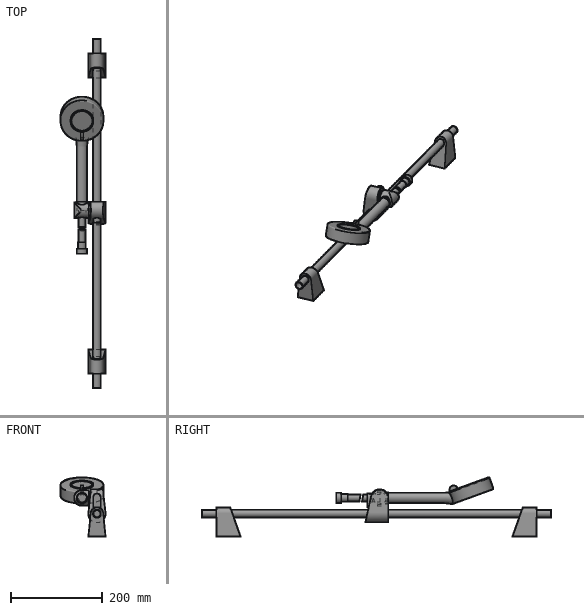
import cadquery as cq
import math


rail_length = 763.0
rail_dia = 17.5
rail_recess_dia = 15.0

bracket_top_radius = 14.0
bracket_base_half_width = 19.0
wall_z = -50.0
bracket_outer_y = 350.0
bracket_base_length = 53.5
bracket_top_length = 30.5
rail_recess_depth = rail_length / 2 - bracket_outer_y

shower_x = -33.0
shower_z = 34.0

slider_y = 7.0
slider_round_radius = 19.0
slider_bottom_radius = 19.0
slider_top_half_width = 13.0
slider_bottom_south_y = -24.5
button_width = 16.0
button_bottom_z = 14.0
button_top_z = 44.0
button_south_y = -20.5

holder_dia = 34.0
holder_inner_x = -18.0
neck_dia = 27.5
collar_dia = 24.5

handle_dia = 23.0
handle_north_y = 146.5
flare_dia = 27.5
flare_north_y = 166.0
head_dia = 94.5
head_thickness = 28.0
head_tilt = 20.0
head_edge_fillet = 2.0
head_top_y = 202.0
head_top_z = 64.0
dial_dia = 50.0
dial_groove_width = 2.0
dial_groove_depth = 1.5
lever_width = 5.0
lever_radius = 9.0
lever_y = 168.5
lever_z = 53.0

hose_dia = 16.0
hose_break_y = -30.5
hose_break_gap = 5.0
hose_cut_angle = 10.0
ferrule_dia = 17.5
ferrule_north_y = -63.0
nut_dia = 23.0
nut_north_y = -77.0
nut_south_y = -88.5
nut_chamfer = 1.0


def rod_y(dia, y_start, y_end, x=0.0, z=0.0):
    """Round rod parallel to Y."""
    return cq.Workplane("XZ", origin=(x, y_start, z)).circle(dia / 2).extrude(y_start - y_end)


def rod_x(dia, x_start, x_end, y, z):
    """Round rod parallel to X."""
    return cq.Workplane("YZ", origin=(x_start, y, z)).circle(dia / 2).extrude(x_end - x_start)


def tangent_angle(radius, px, py):
    """Direction of the point where the line from (px, py) touches a circle about
    the origin, taking the touching point that is counter-clockwise of the outside point."""
    return math.atan2(py, px) + math.acos(radius / math.hypot(px, py))


def wall_bracket():
    """Bracket at the +Y end: a tapered foot with a rounded top, sloped on the inner side."""
    angle = tangent_angle(bracket_top_radius, bracket_base_half_width, wall_z)
    touch_x = bracket_top_radius * math.cos(angle)
    touch_z = bracket_top_radius * math.sin(angle)
    across = (
        cq.Workplane("XZ", origin=(0, bracket_outer_y, 0))
        .moveTo(-bracket_base_half_width, wall_z)
        .lineTo(bracket_base_half_width, wall_z)
        .lineTo(touch_x, touch_z)
        .threePointArc((0, bracket_top_radius), (-touch_x, touch_z))
        .close()
        .extrude(bracket_base_length)
    )
    along = (
        cq.Workplane("YZ")
        .polyline([
            (bracket_outer_y, wall_z),
            (bracket_outer_y, bracket_top_radius),
            (bracket_outer_y - bracket_top_length, bracket_top_radius),
            (bracket_outer_y - bracket_base_length, wall_z),
        ])
        .close()
        .extrude(bracket_base_half_width, both=True)
    )
    return across.intersect(along)


def slider_block():
    """Block around the rail: tapers upward in X, rounded below; round top and sloped south side in Y."""
    top_z = shower_z + slider_round_radius
    angle = tangent_angle(slider_bottom_radius, slider_top_half_width, -top_z)
    touch_x = slider_bottom_radius * math.cos(angle)
    touch_z = -slider_bottom_radius * math.sin(angle)
    across = (
        cq.Workplane("XZ")
        .moveTo(-slider_top_half_width, top_z)
        .lineTo(slider_top_half_width, top_z)
        .lineTo(touch_x, touch_z)
        .threePointArc((0, -slider_bottom_radius), (-touch_x, touch_z))
        .close()
        .extrude(rail_length / 2, both=True)
    )
    south = slider_bottom_south_y - slider_y
    below = -slider_bottom_radius - shower_z
    slope = math.atan2(below, south) - math.acos(slider_round_radius / math.hypot(south, below))
    north_y = slider_y + slider_round_radius
    along = (
        cq.Workplane("YZ")
        .moveTo(north_y, -slider_bottom_radius)
        .lineTo(north_y, shower_z)
        .threePointArc(
            (slider_y, top_z),
            (
                slider_y + slider_round_radius * math.cos(slope),
                shower_z + slider_round_radius * math.sin(slope),
            ),
        )
        .lineTo(slider_bottom_south_y, -slider_bottom_radius)
        .close()
        .extrude(slider_bottom_radius, both=True)
    )
    return across.intersect(along)


def slider_button():
    """Button with a round top on the south side of the slider."""
    half = button_width / 2
    return (
        cq.Workplane("XZ", origin=(0, slider_y, 0))
        .moveTo(-half, button_bottom_z)
        .lineTo(half, button_bottom_z)
        .lineTo(half, button_top_z - half)
        .threePointArc((0, button_top_z), (-half, button_top_z - half))
        .close()
        .extrude(slider_y - button_south_y)
    )


def shower_holder():
    """Cross barrel with a neck to the slider, a rounded free end and a collar for the handle."""
    radius = holder_dia / 2
    barrel = rod_x(holder_dia, shower_x, holder_inner_x, slider_y, shower_z)
    end = rod_x(holder_dia, shower_x - radius, shower_x, slider_y, shower_z)
    end = end.intersect(rod_y(holder_dia, slider_y - radius, slider_y + radius, shower_x, shower_z))
    neck = rod_x(neck_dia, holder_inner_x, 0, slider_y, shower_z)
    collar = rod_y(collar_dia, slider_y, slider_y + slider_round_radius, shower_x, shower_z)
    return barrel.union(end).union(neck).union(collar)


def slide_rail(shower):
    """Rail with recessed ends, both wall brackets, the slider and the holder, bored to fit the shower."""
    body = rod_y(rail_dia, -rail_length / 2, rail_length / 2)
    north_bracket = wall_bracket()
    for bracket in (north_bracket, north_bracket.mirror("XZ")):
        body = body.union(bracket)
    for end in (-1, 1):
        end_y = end * rail_length / 2
        body = body.cut(rod_y(rail_recess_dia, end_y, end_y - end * rail_recess_depth))
    body = body.union(slider_block()).union(slider_button()).union(shower_holder())
    return body.cut(shower)


def shower_head():
    """Tilted disc with a ring groove around the dial and a lever at its south edge."""
    face = cq.Workplane(cq.Plane(
        origin=(shower_x, head_top_y, head_top_z),
        xDir=(1, 0, 0),
        normal=(0, -math.sin(math.radians(head_tilt)), math.cos(math.radians(head_tilt))),
    ))
    disc = face.circle(head_dia / 2).extrude(-head_thickness).edges().fillet(head_edge_fillet)
    groove = (
        face.circle(dial_dia / 2)
        .circle(dial_dia / 2 - dial_groove_width)
        .extrude(-dial_groove_depth)
    )
    return disc.cut(groove)


def hand_shower():
    """Head, handle seated in the holder, and the first piece of hose."""
    handle = rod_y(handle_dia, slider_y, handle_north_y, shower_x, shower_z)
    flare = (
        cq.Workplane("XZ", origin=(shower_x, handle_north_y, shower_z))
        .circle(handle_dia / 2)
        .workplane(offset=handle_north_y - flare_north_y)
        .circle(flare_dia / 2)
        .loft()
    )
    lever = rod_x(
        2 * lever_radius,
        shower_x - lever_width / 2,
        shower_x + lever_width / 2,
        lever_y,
        lever_z,
    )
    return handle.union(flare).union(shower_head()).union(lever).union(upper_hose())


def slanted_hose(y_start, y_end, cut_y, keep_north):
    """Hose cut by a slanted plane that crosses its axis at cut_y."""
    hose = rod_y(hose_dia, y_start, y_end, shower_x, shower_z)
    angle = math.radians(hose_cut_angle)
    side = 1 if keep_north else -1
    keep = cq.Workplane(cq.Plane(
        origin=(shower_x, cut_y, shower_z),
        xDir=(1, 0, 0),
        normal=(0, side * math.cos(angle), -side * math.sin(angle)),
    )).circle(2 * hose_dia).extrude(rail_length)
    return hose.intersect(keep)


def upper_hose():
    """Hose that leaves the holder and ends at the slanted break."""
    return slanted_hose(hose_break_y - hose_dia, slider_y, hose_break_y, keep_north=True)


def hose_end():
    """Lower piece of hose with its ferrule and nut."""
    hose = slanted_hose(ferrule_north_y, hose_break_y, hose_break_y - hose_break_gap, keep_north=False)
    ferrule = rod_y(ferrule_dia, nut_north_y, ferrule_north_y, shower_x, shower_z)
    nut = rod_y(nut_dia, nut_south_y, nut_north_y, shower_x, shower_z).faces("<Y").chamfer(nut_chamfer)
    return hose.union(ferrule).union(nut)


shower = hand_shower()
rail = slide_rail(shower)
hose = hose_end()

result = cq.Compound.makeCompound([
    rail.solids().val(),
    shower.solids().val(),
    hose.solids().val(),
])